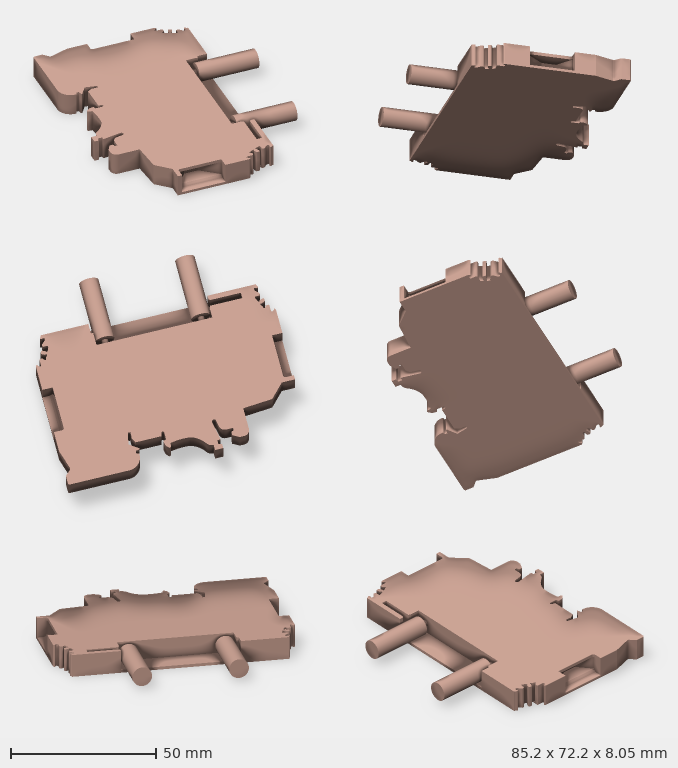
import cadquery as cq

WIDTH = 85.2
BODY_HEIGHT = 55.9
TOTAL_HEIGHT = 72.21
THICKNESS = 8.05
CENTRE_X = WIDTH / 2

PIN_DIAMETER = 6.9
PIN_SPACING = 34.12
PIN_CENTRE_X = 42.72
PIN_FOOT_Y = 50.0
NECK_DIAMETER = 2.33
PIN_AXIS_Z = THICKNESS - PIN_DIAMETER / 2
NECK_EMBED = 1.0

RECESS_BOTTOM_Y = 47.7
RECESS_FLOOR_Z = 1.05
PIN_CLEARANCE = 0.05
RECESS_HALF_WIDTH = PIN_SPACING / 2 + PIN_DIAMETER / 2 + PIN_CLEARANCE
RECESS_MOUTH_LEFT_X = 21.35
RECESS_MOUTH_RIGHT_X = 63.65
RECESS_STEP_Y = 52.3
SLOT_END_X = 75.05
SLOT_BOTTOM_Y = 52.1
SLOT_TOP_Y = 54.1
SLOT_LEAD_IN = 0.5
SLOT_LOWER_STEP = 0.9

POCKET_DEPTH = 3.65
POCKET_BOTTOM_Y = 20.1
POCKET_TOP_Y = 36.2
POCKET_FLOOR_Z = 0.95
POCKET_CORNER_CHAMFER = 0.5
POCKET_RAMP_LENGTH = 1.0
FUNNEL_DEPTH = 4.85
FUNNEL_MOUTH_Z = (1.85, 6.9)
FUNNEL_END_Y = (24.4, 29.6)
FUNNEL_END_Z = (2.05, 6.65)

WEB_THICKNESS = 0.3
LEDGES = [
    [(4.3, 51.55), (5.65, 51.55), (5.9, 51.3), (5.9, 50.95), (5.65, 50.65), (5.0, 50.5)],
    [(3.05, 47.9), (3.05, 47.3), (3.6, 46.65), (3.9, 46.65), (4.1, 47.1), (4.1, 47.9)],
]

TEETH = [
    (0, 45.15), (0.3, 45.65), (0.55, 45.65), (0.8, 45.1), (1.4, 44.7),
    (1.8, 45.0), (1.8, 47.3), (2.1, 47.5), (3.7, 47.42),
    (4.1, 47.4), (4.4, 47.7), (4.7, 48.1), (4.7, 48.7), (4.05, 48.55),
    (2.9, 49.1), (2.9, 49.8), (3.1, 50.3), (3.6, 50.25), (4.6, 49.85),
    (4.8, 49.5), (5.2, 49.5), (5.4, 49.8), (5.65, 50.65), (5.35, 50.75),
    (4.2, 51.5), (4.0, 51.9), (3.95, 52.4), (5.4, 53.8), (5.4, 54.6),
    (4.6, 54.6), (4.45, 54.4), (3.9, 54.6), (3.9, 54.9), (4.35, 55.5), (4.35, BODY_HEIGHT),
]


def mirrored(points):
    """Points reflected across the vertical centre line of the housing."""
    return [(WIDTH - x, y) for x, y in points]


def box(x_range, y_range, z_range):
    """Axis-aligned box between the given limits."""
    size = [high - low for low, high in (x_range, y_range, z_range)]
    corner = (x_range[0], y_range[0], z_range[0])
    return cq.Workplane("XY").box(*size, centered=False).translate(corner)


def rectangle_corners(first_range, second_range):
    """Corner points of a rectangle, in order around it."""
    low_a, high_a = first_range
    low_b, high_b = second_range
    return [(low_a, low_b), (high_a, low_b), (high_a, high_b), (low_a, high_b)]


def housing():
    """Flat housing with toothed upper corners and DIN-rail feet below."""
    outline = cq.Workplane("XY").moveTo(*TEETH[0])
    outline = outline.polyline(TEETH + mirrored(TEETH)[::-1], includeCurrent=False)

    outline = (
        outline.lineTo(WIDTH, 18.5)
        .lineTo(80.5, 18.5)
        .lineTo(75.8, 13.4)
        .lineTo(65.3, 12.55)
        .lineTo(65.3, 4.7)
        .threePointArc((64.65, 3.2), (63.1, 2.55))
        .lineTo(61.5, 2.55)
        .lineTo(59.15, 3.85)
        .lineTo(59.15, 5.15)
        .lineTo(60.1, 5.45)
        .lineTo(60.1, 6.4)
        .lineTo(57.4, 6.4)
        .threePointArc((56.2, 6.95), (55.55, 7.9))
    )

    outline = (
        outline.lineTo(55.1, 10.4)
        .threePointArc((54.35, 11.07), (53.6, 10.3))
        .lineTo(54.8, 3.9)
        .lineTo(54.8, 3.35)
        .lineTo(53.75, 3.35)
        .lineTo(53.75, 1.8)
        .lineTo(55.0, 1.6)
        .lineTo(55.0, 0)
        .lineTo(52.1, 0)
        .lineTo(52.1, 2.0)
        .threePointArc((50.85, 2.25), (49.75, 3.2))
        .threePointArc((47.6, 5.4), (44.9, 6.7))
        .threePointArc((42.0, 6.8), (38.4, 6.4))
    )

    outline = (
        outline.lineTo(37.85, 6.3)
        .lineTo(37.75, 5.0)
        .lineTo(37.2, 4.6)
        .threePointArc((36.05, 5.9), (35.75, 7.7))
        .lineTo(36.75, 7.95)
        .lineTo(36.75, 10.6)
        .threePointArc((36.25, 11.07), (35.75, 10.6))
        .lineTo(35.55, 9.5)
        .lineTo(26.35, 9.5)
        .lineTo(25.3, 11.4)
        .lineTo(25.45, 11.8)
        .lineTo(25.45, 13.6)
        .lineTo(24.55, 13.6)
        .lineTo(23.75, 9.35)
    )

    outline = (
        outline.lineTo(27.05, 7.05)
        .lineTo(27.05, 6.75)
        .lineTo(25.55, 6.4)
        .lineTo(25.55, 5.45)
        .lineTo(26.5, 5.15)
        .threePointArc((25.3, 1.65), (22.1, 0))
        .lineTo(0.35, 0)
        .lineTo(0, 0.35)
        .lineTo(0, 3.45)
        .lineTo(2.05, 5.4)
        .lineTo(2.1, 5.9)
        .lineTo(0, 12.65)
        .close()
    )
    return outline.extrude(THICKNESS)


def tooth_ledges():
    """Cutters that open the tooth grooves down to a thin web on both corners."""
    cutters = cq.Workplane("XY")
    for ledge in LEDGES:
        for points in (ledge, mirrored(ledge)):
            cutter = cq.Workplane("XY").workplane(offset=WEB_THICKNESS).polyline(points).close()
            cutters = cutters.add(cutter.extrude(THICKNESS))
    return cutters.combine()


def pin_recess():
    """Cutter for the open recess around the pins and its side slot."""
    left = PIN_CENTRE_X - RECESS_HALF_WIDTH
    right = PIN_CENTRE_X + RECESS_HALF_WIDTH
    points = [
        (left, RECESS_BOTTOM_Y),
        (right, RECESS_BOTTOM_Y),
        (right, SLOT_BOTTOM_Y - SLOT_LOWER_STEP),
        (RECESS_MOUTH_RIGHT_X, SLOT_BOTTOM_Y),
        (SLOT_END_X, SLOT_BOTTOM_Y),
        (SLOT_END_X, SLOT_TOP_Y),
        (RECESS_MOUTH_RIGHT_X + SLOT_LEAD_IN, SLOT_TOP_Y),
        (RECESS_MOUTH_RIGHT_X, SLOT_TOP_Y + SLOT_LEAD_IN),
        (RECESS_MOUTH_RIGHT_X, BODY_HEIGHT),
        (RECESS_MOUTH_LEFT_X, BODY_HEIGHT),
        (RECESS_MOUTH_LEFT_X, RECESS_STEP_Y),
        (left, RECESS_STEP_Y),
    ]
    return cq.Workplane("XY").workplane(offset=RECESS_FLOOR_Z).polyline(points).close().extrude(THICKNESS)


def wire_pocket():
    """Cutter for the left wire entry: an open pocket leading into a tapering funnel."""
    mouth_y = (POCKET_BOTTOM_Y, POCKET_TOP_Y)
    pocket = box((0, POCKET_DEPTH), mouth_y, (POCKET_FLOOR_Z, THICKNESS))
    pocket = pocket.edges("|Z and >X and <Y").chamfer(POCKET_CORNER_CHAMFER)
    square_mouth = box((0, POCKET_DEPTH), mouth_y, FUNNEL_MOUTH_Z)

    ramp = (
        cq.Workplane("XZ", origin=(0, POCKET_TOP_Y, 0))
        .moveTo(POCKET_DEPTH - POCKET_RAMP_LENGTH, POCKET_FLOOR_Z)
        .lineTo(POCKET_DEPTH, POCKET_FLOOR_Z)
        .lineTo(POCKET_DEPTH, FUNNEL_MOUTH_Z[0])
        .close()
        .extrude(POCKET_TOP_Y - POCKET_BOTTOM_Y)
    )

    start = rectangle_corners(mouth_y, FUNNEL_MOUTH_Z)
    end = rectangle_corners(FUNNEL_END_Y, FUNNEL_END_Z)
    funnel = (
        cq.Workplane("YZ", origin=(POCKET_DEPTH, 0, 0))
        .polyline(start)
        .close()
        .workplane(offset=FUNNEL_DEPTH)
        .polyline(end)
        .close()
        .loft(ruled=True)
    )
    return pocket.cut(ramp).union(square_mouth).union(funnel)


def cylinder_along_y(x, y_start, y_end, diameter):
    """Round bar parallel to Y at the height of the pin axis."""
    plane = cq.Plane(origin=(x, y_start, PIN_AXIS_Z), xDir=(1, 0, 0), normal=(0, 1, 0))
    return cq.Workplane(plane).circle(diameter / 2).extrude(y_end - y_start)


def pin(x):
    """Socket pin with the thin neck that joins it to the housing."""
    barrel = cylinder_along_y(x, PIN_FOOT_Y, TOTAL_HEIGHT, PIN_DIAMETER)
    neck = cylinder_along_y(x, RECESS_BOTTOM_Y - NECK_EMBED, PIN_FOOT_Y, NECK_DIAMETER)
    return barrel.union(neck)


left_pocket = wire_pocket()
right_pocket = left_pocket.mirror("YZ", (CENTRE_X, 0, 0))

result = housing().cut(tooth_ledges()).cut(pin_recess()).cut(left_pocket).cut(right_pocket)
for side in (-1, 1):
    result = result.union(pin(PIN_CENTRE_X + side * PIN_SPACING / 2))